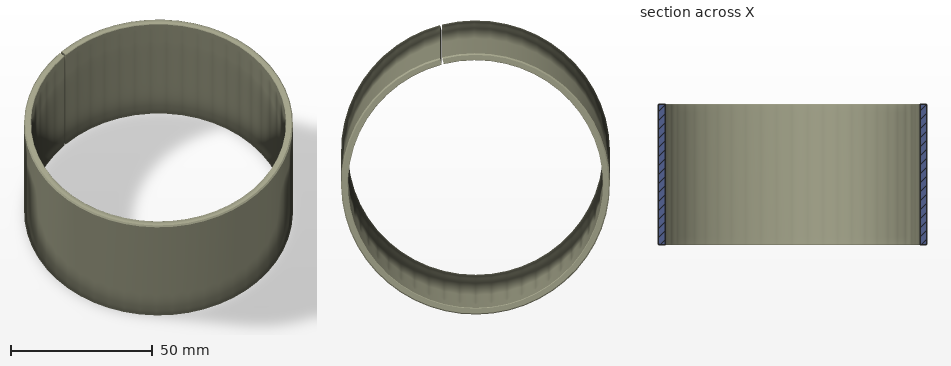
import cadquery as cq

outer_diameter = 95.0
wall = 2.5
height = 50.0
outer_chamfer = 0.5
inner_chamfer = 0.2
split_width = 0.8

outer_radius = outer_diameter / 2
inner_radius = outer_radius - wall
half_height = height / 2


def wall_section():
    """Chamfered wall profile, with radius along X and height along Z."""
    outer_land = half_height - outer_chamfer
    inner_land = half_height - inner_chamfer
    return (
        cq.Workplane("XZ")
        .moveTo(inner_radius, -inner_land)
        .lineTo(inner_radius + inner_chamfer, -half_height)
        .lineTo(outer_radius - outer_chamfer, -half_height)
        .lineTo(outer_radius, -outer_land)
        .lineTo(outer_radius, outer_land)
        .lineTo(outer_radius - outer_chamfer, half_height)
        .lineTo(inner_radius + inner_chamfer, half_height)
        .lineTo(inner_radius, inner_land)
        .close()
    )


def split_cutter():
    """Full-height slot through the -X wall, with one face on the Y = 0 plane."""
    return (
        cq.Workplane("XY")
        .center(-outer_radius, split_width / 2)
        .box(outer_radius, split_width, 2 * height)
    )


ring = wall_section().revolve(360, (0, 0, 0), (0, 1, 0))
result = ring.cut(split_cutter())